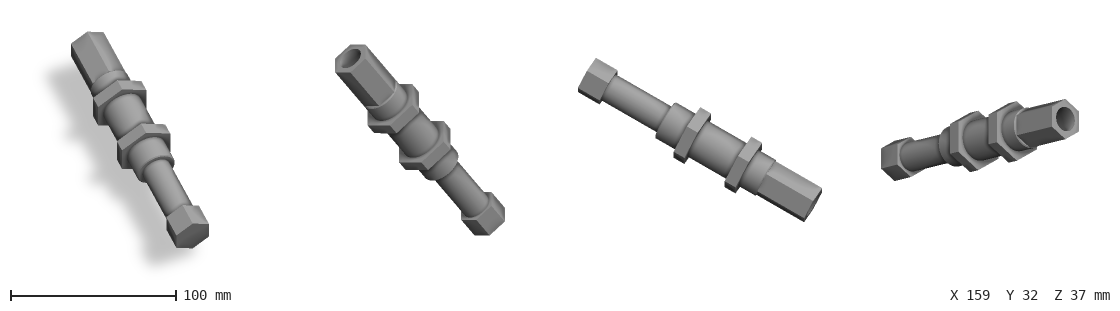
import cadquery as cq
import math

total_length = 159.0
grip_length = 32.9
body_end = 104.0
head_length = 15.3
nut_starts = (45.2, 81.1)
nut_thickness = 7.6

body_diameter = 25.0
body_chamfer = 0.6
rod_diameter = 18.0
hex_flats = 21.6
nut_flats = 32.0

bore_diameter = 15.0
bore_depth = grip_length


def section(start):
    """Sketch plane facing +X at a station, with local y along +Z."""
    return cq.Workplane("YZ", origin=(start, 0, 0))


def cylinder(start, length, diameter):
    return section(start).circle(diameter / 2).extrude(length)


def hex_prism(start, length, flats):
    """Hexagonal prism with two corners on the Z axis and two flats facing +Y and -Y."""
    corners = flats / math.cos(math.pi / 6)
    return section(start).transformed(rotate=(0, 0, 90)).polygon(6, corners).extrude(length)


grip = hex_prism(0, grip_length, hex_flats)
body = cylinder(grip_length, body_end - grip_length, body_diameter).faces("<X or >X").chamfer(body_chamfer)
head_start = total_length - head_length
rod = cylinder(body_end, head_start - body_end, rod_diameter)
head = hex_prism(head_start, head_length, hex_flats)
result = grip.union(body).union(rod).union(head)

for nut_start in nut_starts:
    result = result.union(hex_prism(nut_start, nut_thickness, nut_flats))

result = result.cut(cylinder(0, bore_depth, bore_diameter))